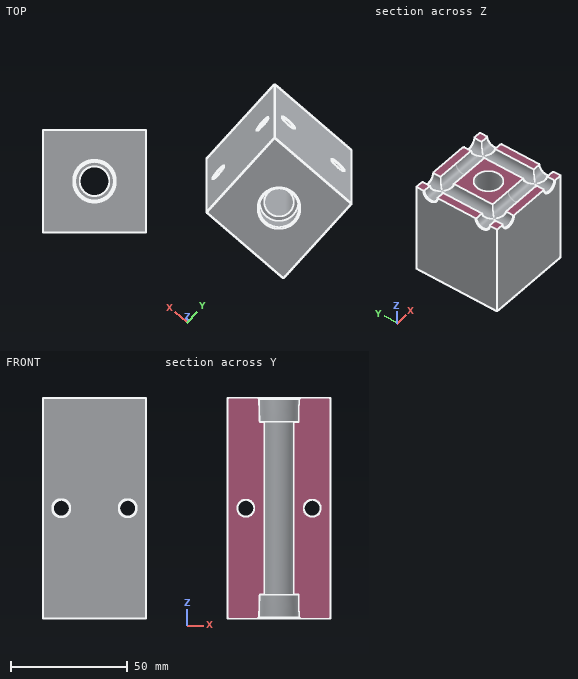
import cadquery as cq

height = 95.25
width = 44.5

edge_chamfer = 0.27

bore_diameter = 12.7
counterbore_diameter = 17.1
counterbore_floor_diameter = 16.6
counterbore_mouth_diameter = 18.5
counterbore_depth = 10.5

cross_diameter = 7.1
cross_mouth_diameter = 7.9
cross_spacing = 28.6


def chamfered_pocket(diameter, floor_diameter, mouth_diameter, depth):
    """Round pocket, straight or tapered, down from the origin, with a 45 degree mouth chamfer."""
    flare = (mouth_diameter - diameter) / 2
    profile = (
        cq.Workplane("XZ")
        .lineTo(mouth_diameter / 2, 0)
        .lineTo(diameter / 2, -flare)
        .lineTo(floor_diameter / 2, -depth)
        .lineTo(0, -depth)
        .close()
    )
    return profile.revolve(360, (0, 0), (0, 1))


def axial_bore():
    """Through bore along Z and the counterbores at its two ends."""
    bore = cq.Workplane().circle(bore_diameter / 2).extrude(height / 2, both=True)
    pocket = chamfered_pocket(
        counterbore_diameter,
        counterbore_floor_diameter,
        counterbore_mouth_diameter,
        counterbore_depth,
    )
    upper = pocket.translate((0, 0, height / 2))
    return bore.union(upper).union(upper.mirror("XY"))


def cross_hole_pair():
    """Two through holes along Y, chamfered at both mouths."""
    half = chamfered_pocket(cross_diameter, cross_diameter, cross_mouth_diameter, width / 2)
    front_half = half.rotate((0, 0, 0), (1, 0, 0), 90).translate((0, -width / 2, 0))
    hole = front_half.union(front_half.mirror("XZ"))
    left = hole.translate((-cross_spacing / 2, 0, 0))
    right = hole.translate((cross_spacing / 2, 0, 0))
    return left.union(right)


holes_along_y = cross_hole_pair()
holes_along_x = holes_along_y.rotate((0, 0, 0), (0, 0, 1), 90)

block = cq.Workplane().box(width, width, height).edges().chamfer(edge_chamfer)
result = block.cut(axial_bore()).cut(holes_along_y).cut(holes_along_x)